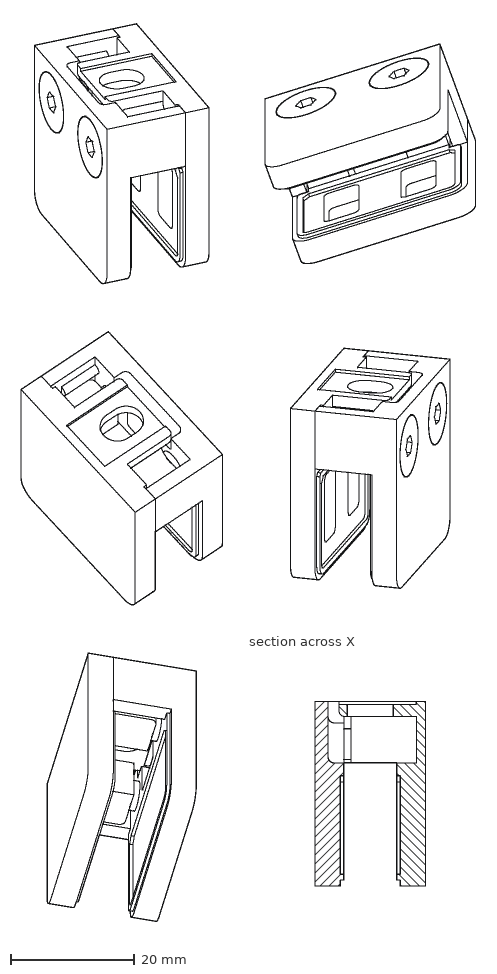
import cadquery as cq
import math

SIZE = 30.0
HALF = SIZE / 2
DEPTH = 18.0
JAW = 4.17
JAW_CORNER = 3.0
PAD = 0.55
RIM = 1.0
PAD_TOP = 18.87
PAD_TOP_CHAMFER = 0.5
RECESS_TOP_CHAMFER = 1.0
THROAT_TOP = 20.0
FIT_GAP = 0.5

SIDE_WALL = 2.5

TONGUE_HALF = 6.93
TONGUE_FRONT = 3.9
TONGUE_CORNER = 0.75
TONGUE_THICK = 2.5
TONGUE_NOSE = 0.9
TRAY_HALF = 5.0
TRAY_BACK = 16.45
TRAY_DEPTH = 0.5
SLOT_WIDTH = 5.6
SLOT_LENGTH = 7.4

LUG_FRONT = 5.85
LUG_TOP = 26.5
LUG_ROOT = 1.55
LUG_ROUND = 1.5
LUG_EDGE = 1.0

BACK_WALL = 1.5
CAVITY_HALF = 5.0
CAVITY_CORNER = 0.5
POCKET_INNER = 3.6
POCKET_OUTER = 9.6
POCKET_BOTTOM = 5.22
POCKET_TOP = 16.85
POCKET_CORNER = 1.0

SEAT_FRONT = 2.15
SEAT_STEM_HALF = 3.95
SEAT_EDGE = 1.02
SEAT_CORNER = 0.55

BUMP_RADIUS = 1.05
BUMP_Z = 26.6
BUMP_END = 11.65

SCREW_X = 7.98
SCREW_Z = 23.0
SHAFT_DIAMETER = 4.92
SHAFT_END = 12.9
HEAD_DIAMETER = 10.02
HEAD_BORE = 10.2
HEAD_THICK = 1.5
HEX_FLATS = 3.0
HEX_DEPTH = 2.0
HEX_TURN = 30.0

COVER_FACE = DEPTH - JAW
COVER_PAD_FACE = COVER_FACE - PAD
HOUSING_PAD_FACE = JAW + PAD
WALL_INNER = HALF - SIDE_WALL
LUG_HALF = WALL_INNER - FIT_GAP
TONGUE_BOTTOM = SIZE - TONGUE_THICK
CAVITY_BACK = DEPTH - BACK_WALL
SEAT_HALF = TONGUE_HALF + FIT_GAP
PAD_CORNER = JAW_CORNER - RIM
RECESS_INSET = 2 * RIM
RECESS_CORNER = JAW_CORNER - RECESS_INSET
SIDES = (-1, 1)
PICK = 0.15


def box(x0, x1, y0, y1, z0, z1):
    """Box between two corners."""
    return cq.Workplane("XY").box(x1 - x0, y1 - y0, z1 - z0, centered=False).translate((x0, y0, z0))


def plate(inset, top, y0, y1, bottom_corner, top_chamfer=0.0):
    """Upright plate inset from the jaw outline, with rounded bottom and cut-off top corners."""
    body = box(-HALF + inset, HALF - inset, y0, y1, inset, top)
    body = body.edges("|Y and <Z").fillet(bottom_corner)
    if top_chamfer:
        body = body.edges("|Y and >Z").chamfer(top_chamfer)
    return body


def cylinder_y(diameter, x, z, y0, y1):
    """Cylinder along Y."""
    return cq.Workplane("XZ", origin=(x, y0, z)).circle(diameter / 2).extrude(y0 - y1)


def rim_recess(y0, y1):
    """Flat recess enclosed by the rim of a pad."""
    return plate(RECESS_INSET, PAD_TOP - RIM, y0, y1, RECESS_CORNER, RECESS_TOP_CHAMFER)


def corner_pair(x, z):
    """Selects the two edges along Y at -x and +x on height z."""
    pair = [
        cq.selectors.BoxSelector((side * x - PICK, 0, z - PICK), (side * x + PICK, DEPTH, z + PICK))
        for side in SIDES
    ]
    along_y = cq.selectors.ParallelDirSelector(cq.Vector(0, 1, 0))
    return (pair[0] + pair[1]) & along_y


def tongue_seat():
    """T-shaped seat for the tongue, rounded where its sides meet its front wall."""
    arms = box(-SEAT_HALF, SEAT_HALF, SEAT_FRONT, HOUSING_PAD_FACE, LUG_TOP, SIZE + SEAT_EDGE)
    stem = box(-SEAT_STEM_HALF, SEAT_STEM_HALF, SEAT_FRONT, HOUSING_PAD_FACE, THROAT_TOP, SIZE)
    seat = arms.union(stem)
    seat = seat.edges(corner_pair(SEAT_STEM_HALF, LUG_TOP)).fillet(SEAT_EDGE)
    seat = seat.faces("<Y").edges().fillet(SEAT_EDGE)
    seat = seat.edges(corner_pair(SEAT_STEM_HALF, THROAT_TOP)).fillet(SEAT_CORNER)
    seat = seat.edges(corner_pair(SEAT_HALF, LUG_TOP)).fillet(SEAT_CORNER)
    return seat


def make_housing():
    body = plate(0, SIZE, 0, JAW, JAW_CORNER)
    body = body.union(plate(RIM, THROAT_TOP, JAW, HOUSING_PAD_FACE, PAD_CORNER))
    body = body.union(box(-WALL_INNER, WALL_INNER, JAW, HOUSING_PAD_FACE, THROAT_TOP, SIZE))
    body = body.cut(rim_recess(JAW, HOUSING_PAD_FACE))
    body = body.cut(tongue_seat())
    for side in SIDES:
        wall = box(WALL_INNER, HALF, JAW, COVER_FACE, THROAT_TOP, SIZE)
        body = body.union(wall if side > 0 else wall.mirror("YZ"))
        body = body.union(cylinder_y(2 * BUMP_RADIUS, side * WALL_INNER, BUMP_Z, JAW, BUMP_END))
        body = body.cut(cylinder_y(HEAD_BORE, side * SCREW_X, SCREW_Z, 0, HEAD_THICK))
        body = body.cut(cylinder_y(SHAFT_DIAMETER, side * SCREW_X, SCREW_Z, 0, DEPTH / 2))
    return body


def make_lug():
    """Lug on the +X side: a shoulder that flows out of the tongue, rounded at its front."""
    arc_middle = 1 - math.sqrt(0.5)
    root = LUG_ROOT * arc_middle
    shoulder = LUG_ROUND * arc_middle
    profile = (
        cq.Workplane("XZ", origin=(0, LUG_FRONT, 0))
        .moveTo(CAVITY_HALF, THROAT_TOP)
        .lineTo(CAVITY_HALF, LUG_TOP + LUG_ROOT)
        .lineTo(TONGUE_HALF, LUG_TOP + LUG_ROOT)
        .threePointArc((TONGUE_HALF + root, LUG_TOP + root), (TONGUE_HALF + LUG_ROOT, LUG_TOP))
        .lineTo(LUG_HALF - LUG_ROUND, LUG_TOP)
        .threePointArc((LUG_HALF - shoulder, LUG_TOP - shoulder), (LUG_HALF, LUG_TOP - LUG_ROUND))
        .lineTo(LUG_HALF, THROAT_TOP)
        .close()
    )
    lug = profile.extrude(LUG_FRONT - COVER_FACE)
    outer_edges = cq.selectors.BoxSelector(
        (TONGUE_HALF, LUG_FRONT - PICK, THROAT_TOP + PICK),
        (HALF, LUG_FRONT + PICK, LUG_TOP + LUG_ROOT - PICK),
    )
    return lug.edges(outer_edges).fillet(LUG_EDGE)


def make_tongue():
    """Bridge reaching forward from the rear jaw, rounded at its front."""
    tongue = box(-TONGUE_HALF, TONGUE_HALF, TONGUE_FRONT, COVER_FACE, TONGUE_BOTTOM, SIZE)
    tongue = tongue.edges("|X and <Y and <Z").fillet(TONGUE_NOSE)
    return tongue.edges("|Z and <Y").fillet(TONGUE_CORNER)


def cover_cavity():
    """Cavity under the tongue, open to the front and below."""
    cavity = box(-CAVITY_HALF, CAVITY_HALF, TONGUE_FRONT, CAVITY_BACK, THROAT_TOP, TONGUE_BOTTOM)
    return cavity.edges("|Z and >Y").fillet(CAVITY_CORNER)


def cover_pocket():
    """Pocket in the gripping face on the +X side."""
    pocket = box(POCKET_INNER, POCKET_OUTER, COVER_FACE, CAVITY_BACK, POCKET_BOTTOM, POCKET_TOP)
    return pocket.edges("|Y").fillet(POCKET_CORNER)


def make_cover():
    body = plate(0, SIZE, COVER_FACE, DEPTH, JAW_CORNER)
    body = body.union(plate(RIM, PAD_TOP, COVER_PAD_FACE, COVER_FACE, PAD_CORNER, PAD_TOP_CHAMFER))
    body = body.union(box(-LUG_HALF, LUG_HALF, COVER_PAD_FACE, COVER_FACE, PAD_TOP - RIM, SIZE))
    body = body.cut(rim_recess(COVER_PAD_FACE, COVER_FACE))
    body = body.union(make_tongue())
    for side in SIDES:
        lug = make_lug()
        pocket = cover_pocket()
        body = body.union(lug if side > 0 else lug.mirror("YZ"))
        body = body.cut(pocket if side > 0 else pocket.mirror("YZ"))
        body = body.cut(cylinder_y(SHAFT_DIAMETER, side * SCREW_X, SCREW_Z, LUG_FRONT, SHAFT_END))
    body = body.cut(cover_cavity())
    body = body.cut(box(-TRAY_HALF, TRAY_HALF, 0, TRAY_BACK, SIZE - TRAY_DEPTH, SIZE))
    slot = (
        cq.Workplane("XY", origin=(0, DEPTH / 2, TONGUE_BOTTOM))
        .slot2D(SLOT_LENGTH, SLOT_WIDTH, 90)
        .extrude(TONGUE_THICK)
    )
    return body.cut(slot)


def make_screw(x):
    body = cylinder_y(HEAD_DIAMETER, x, SCREW_Z, 0, HEAD_THICK)
    body = body.union(cylinder_y(SHAFT_DIAMETER, x, SCREW_Z, 0, SHAFT_END))
    socket = (
        cq.Workplane("XZ", origin=(x, 0, SCREW_Z))
        .transformed(rotate=(0, 0, HEX_TURN))
        .polygon(6, HEX_FLATS, circumscribed=True)
        .extrude(-HEX_DEPTH)
    )
    return body.cut(socket)


housing = make_housing()
cover = make_cover()
screws = [make_screw(side * SCREW_X) for side in SIDES]

result = cq.Compound.makeCompound([housing.val(), cover.val(), *[screw.val() for screw in screws]])